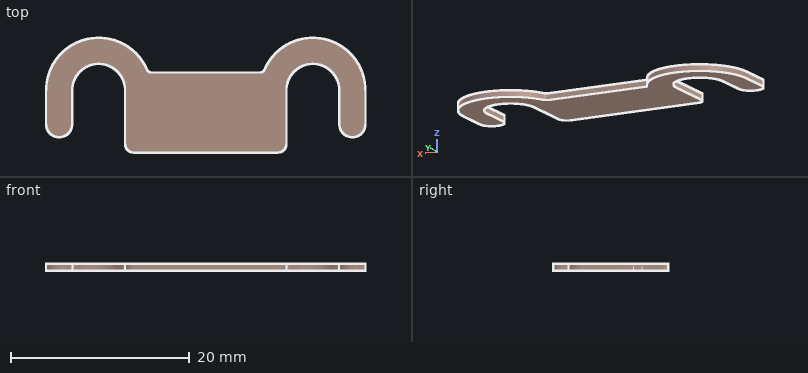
import cadquery as cq
import math

thickness = 0.8
hook_spacing = 24.0
hook_outer_radius = 5.9
hook_inner_radius = 2.95
arm_length = 3.8
body_height = 9.0
body_bottom = -7.0
body_corner_radius = 1.0
neck_fillet_radius = 0.5

hook_x = hook_spacing / 2
arm_width = hook_outer_radius - hook_inner_radius
arm_offset = (hook_outer_radius + hook_inner_radius) / 2
body_width = hook_spacing - 2 * hook_inner_radius
body_center_y = body_bottom + body_height / 2


def make_body():
    """Central plate with rounded lower corners."""
    return (
        cq.Workplane("XY")
        .center(0, body_center_y)
        .rect(body_width, body_height)
        .extrude(thickness)
        .edges("|Z and <Y")
        .fillet(body_corner_radius)
    )


def make_hook(side):
    """Upper half disc plus round-ended arm on the outer side; side is -1 or +1."""
    disc = cq.Workplane("XY").center(side * hook_x, 0).circle(hook_outer_radius).extrude(thickness)
    below_centre = (
        cq.Workplane("XY")
        .center(side * hook_x, -hook_outer_radius / 2)
        .rect(2 * hook_outer_radius, hook_outer_radius)
        .extrude(thickness)
    )
    arm_x = side * (hook_x + arm_offset)
    arm = (
        cq.Workplane("XY")
        .center(arm_x, -arm_length / 2)
        .rect(arm_width, arm_length)
        .extrude(thickness)
    )
    tip = cq.Workplane("XY").center(arm_x, -arm_length).circle(arm_width / 2).extrude(thickness)
    return disc.cut(below_centre).union(arm).union(tip)


def make_hook_opening(side):
    """Round-topped opening of a hook, open toward -Y."""
    return (
        cq.Workplane("XY")
        .moveTo(side * hook_x - hook_inner_radius, body_bottom)
        .lineTo(side * hook_x - hook_inner_radius, 0)
        .threePointArc((side * hook_x, hook_inner_radius), (side * hook_x + hook_inner_radius, 0))
        .lineTo(side * hook_x + hook_inner_radius, body_bottom)
        .close()
        .extrude(thickness)
    )


def fillet_necks(plate):
    """Round the inside corners between the hooks and the upper body edge."""
    body_top = body_bottom + body_height
    neck_x = hook_x - math.sqrt(hook_outer_radius**2 - body_top**2)
    margin = neck_fillet_radius
    neck_zone = cq.selectors.BoxSelector(
        (-neck_x - margin, body_top - margin, -thickness),
        (neck_x + margin, body_top + margin, 2 * thickness),
    )
    return plate.edges("|Z").edges(neck_zone).fillet(neck_fillet_radius)


plate = make_body()
for side in (-1, 1):
    plate = plate.union(make_hook(side))
for side in (-1, 1):
    plate = plate.cut(make_hook_opening(side))

result = fillet_necks(plate.clean())